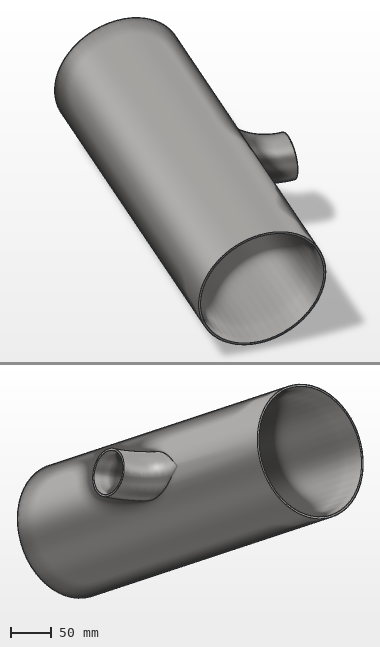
import cadquery as cq

run_length = 458.0
run_diameter = 168.3
wall = 2.6

branch_diameter = 60.3
bend_radius = 76.0
bend_angle = 90.0
mouth_x = 0.0

run_radius = run_diameter / 2
bore_radius = run_radius - wall
branch_radius = branch_diameter / 2

mouth_y = run_radius + bend_radius - branch_radius


def run_cylinder(radius):
    """Solid cylinder along X with the length of the run pipe."""
    return cq.Workplane("YZ").circle(radius).extrude(run_length / 2, both=True)


def elbow(radius):
    """Solid bend from the mouth, which faces +Y, curving down and towards -X into the run pipe."""
    return (
        cq.Workplane("XZ", origin=(mouth_x, mouth_y, 0))
        .circle(radius)
        .revolve(bend_angle, (-bend_radius, 0), (-bend_radius, -1))
    )


outer_body = run_cylinder(run_radius).union(elbow(branch_radius))
result = outer_body.cut(elbow(branch_radius - wall)).cut(run_cylinder(bore_radius))